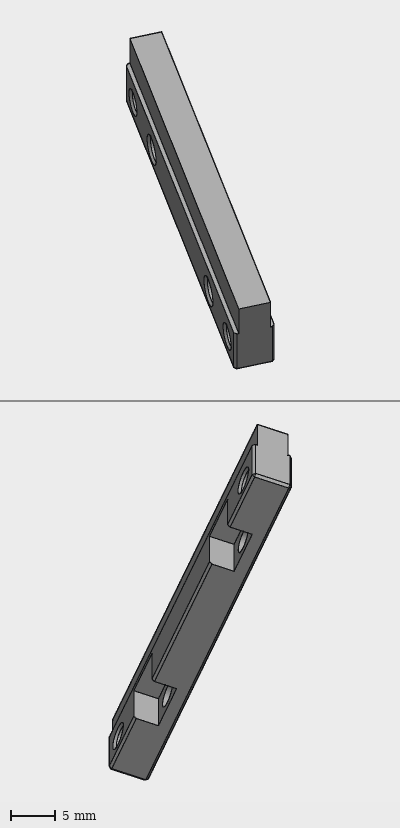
import cadquery as cq

length = 44.0
base_width = 4.75
total_height = 10.0
tongue_width = 3.75
tongue_height = 4.0
base_height = total_height - tongue_height
edge_chamfer = 0.3

outer_hole_diameter = 2.6
outer_hole_spacing = 38.0
outer_hole_height = 2.7
inner_hole_diameter = 3.0
inner_hole_spacing = 22.95
inner_hole_height = 2.5
hole_chamfer = 0.3

pocket_width = 5.5
pocket_depth = 3.0
pocket_top = inner_hole_height + pocket_width / 2


def make_base():
    """Lower block with chamfered upright and bottom edges."""
    block = cq.Workplane("XY").box(length, base_width, base_height, centered=(True, True, False))
    return block.edges("|Z or <Z").chamfer(edge_chamfer)


def make_tongue():
    """Narrower, sharp-edged rail on top of the base."""
    rail = cq.Workplane("XY").box(length, tongue_width, tongue_height, centered=(True, True, False))
    return rail.translate((0, 0, base_height))


def make_hole_cutter(x, z, diameter):
    """Through hole along Y, chamfered at both faces of the base."""
    radius = diameter / 2
    mouth_radius = radius + hole_chamfer
    face_y = base_width / 2
    neck_y = face_y - hole_chamfer
    half_profile = [
        (0, -face_y),
        (mouth_radius, -face_y),
        (radius, -neck_y),
        (radius, neck_y),
        (mouth_radius, face_y),
        (0, face_y),
    ]
    cutter = cq.Workplane("XY").polyline(half_profile).close().revolve(360, (0, 0, 0), (0, 1, 0))
    return cutter.translate((x, 0, z))


def make_pocket_cutter(x):
    """Square-topped nut pocket running out through the back and bottom."""
    cutter = cq.Workplane("XY").box(pocket_width, pocket_depth, pocket_top, centered=(True, False, False))
    return cutter.translate((x, base_width / 2 - pocket_depth, 0))


result = make_base().union(make_tongue())

for side in (-1, 1):
    outer_x = side * outer_hole_spacing / 2
    inner_x = side * inner_hole_spacing / 2
    result = result.cut(make_hole_cutter(outer_x, outer_hole_height, outer_hole_diameter))
    result = result.cut(make_hole_cutter(inner_x, inner_hole_height, inner_hole_diameter))
    result = result.cut(make_pocket_cutter(inner_x))